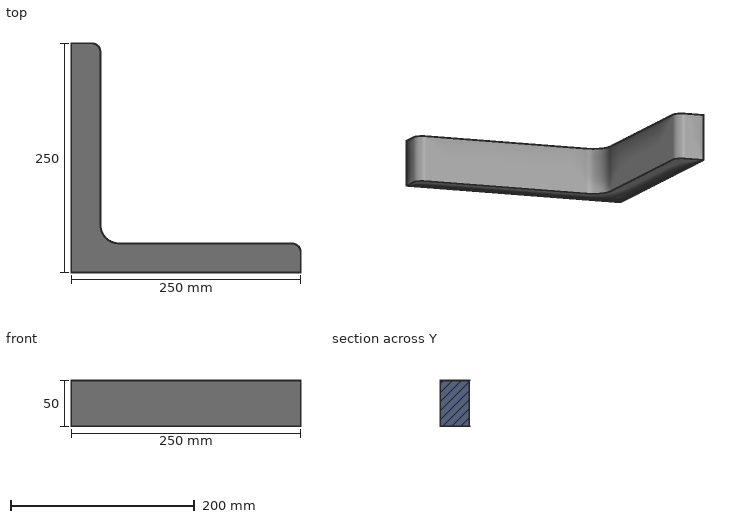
import cadquery as cq

leg_length = 250.0
leg_thickness = 32.0
section_length = 50.0
root_radius = 20.0
toe_radius = 10.0


def angle_profile():
    """Sharp-cornered L outline with the outer heel at the origin."""
    return (
        cq.Workplane("XY")
        .moveTo(0, 0)
        .lineTo(leg_length, 0)
        .lineTo(leg_length, leg_thickness)
        .lineTo(leg_thickness, leg_thickness)
        .lineTo(leg_thickness, leg_length)
        .lineTo(0, leg_length)
        .close()
    )


def vertical_edge_at(x, y):
    """Selector for the vertical edge passing through (x, y)."""
    return cq.selectors.NearestToPointSelector((x, y, section_length / 2))


def round_root(body):
    """Fillet the inner corner between the two legs."""
    return body.edges(vertical_edge_at(leg_thickness, leg_thickness)).fillet(root_radius)


def round_toes(body):
    """Round the inner edge at the free end of each leg."""
    for x, y in ((leg_length, leg_thickness), (leg_thickness, leg_length)):
        body = body.edges(vertical_edge_at(x, y)).fillet(toe_radius)
    return body


angle = angle_profile().extrude(section_length)
result = round_toes(round_root(angle))